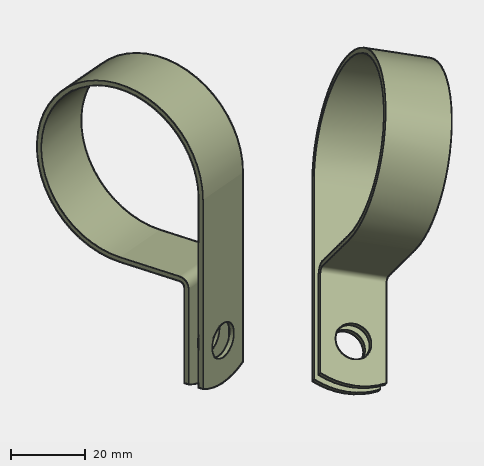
import cadquery as cq

width = 19.0
height = 86.4
thickness = 1.5
loop_diameter = 53.85
leg_gap = 3.2
bend_inner_radius = 1.5
hole_diameter = 10.3
hole_height = 12.8
end_arc_rise = 2.2

outer_radius = loop_diameter / 2
inner_radius = outer_radius - thickness
loop_z = height - outer_radius
shelf_bottom = loop_z - outer_radius
shelf_top = shelf_bottom + thickness
front_leg_outer = outer_radius - thickness - leg_gap
front_leg_inner = front_leg_outer - thickness
bend_outer_radius = bend_inner_radius + thickness
bend_x = front_leg_outer - bend_outer_radius
bend_z = shelf_top - bend_outer_radius


def bent_strip():
    """Strip outline in XZ: long leg, three-quarter loop, flat shelf, bend, short leg."""
    diagonal = 0.5 ** 0.5
    outline = (
        cq.Workplane("XZ")
        .moveTo(outer_radius, 0)
        .lineTo(outer_radius, loop_z)
        .threePointArc((-outer_radius * diagonal, loop_z + outer_radius * diagonal), (0, shelf_bottom))
        .lineTo(bend_x, shelf_bottom)
        .radiusArc((front_leg_inner, bend_z), bend_inner_radius)
        .lineTo(front_leg_inner, 0)
        .lineTo(front_leg_outer, 0)
        .lineTo(front_leg_outer, bend_z)
        .radiusArc((bend_x, shelf_top), -bend_outer_radius)
        .lineTo(0, shelf_top)
        .threePointArc((-inner_radius * diagonal, loop_z + inner_radius * diagonal), (inner_radius, loop_z))
        .lineTo(inner_radius, 0)
        .close()
    )
    return outline.extrude(width / 2, both=True)


def rounded_end_envelope():
    """Full-length block whose lower end is a shallow arc, trimming both leg ends."""
    return (
        cq.Workplane("YZ")
        .moveTo(-width / 2, end_arc_rise)
        .threePointArc((0, 0), (width / 2, end_arc_rise))
        .lineTo(width / 2, height)
        .lineTo(-width / 2, height)
        .close()
        .extrude(outer_radius, both=True)
    )


def bolt_hole():
    """Cylinder along X that passes through both legs."""
    return (
        cq.Workplane("YZ")
        .center(0, hole_height)
        .circle(hole_diameter / 2)
        .extrude(outer_radius)
    )


result = bent_strip().intersect(rounded_end_envelope()).cut(bolt_hole())